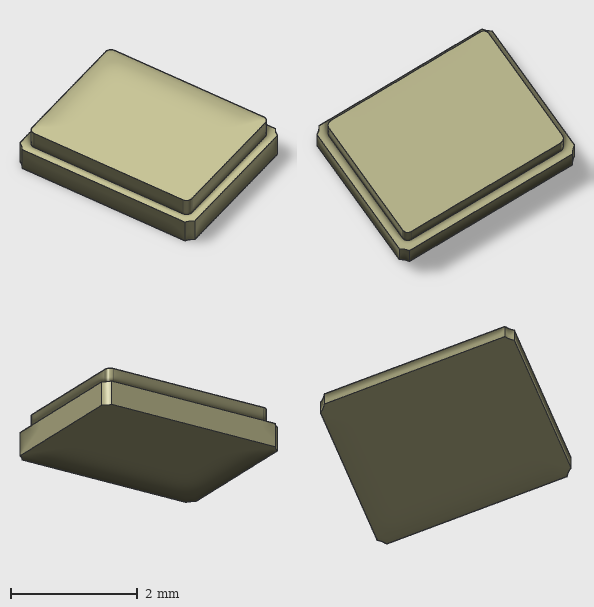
import cadquery as cq

base_length = 3.3
base_width = 2.6
base_height = 0.402
notch_radius = 0.3
notch_center_offset = 0.148

ledge = 0.145
lid_length = base_length - 2 * ledge
lid_width = base_width - 2 * ledge
lid_height = 0.3
lid_corner_radius = 0.1


def make_base():
    plate = cq.Workplane("XY").rect(base_length, base_width).extrude(base_height)
    notches = (
        cq.Workplane("XY")
        .rect(
            base_length + 2 * notch_center_offset,
            base_width + 2 * notch_center_offset,
            forConstruction=True,
        )
        .vertices()
        .circle(notch_radius)
        .extrude(base_height)
    )
    return plate.cut(notches)


def make_lid():
    return (
        cq.Workplane("XY", origin=(0, 0, base_height))
        .rect(lid_length, lid_width)
        .extrude(lid_height)
        .edges("|Z")
        .fillet(lid_corner_radius)
    )


result = make_base().union(make_lid())